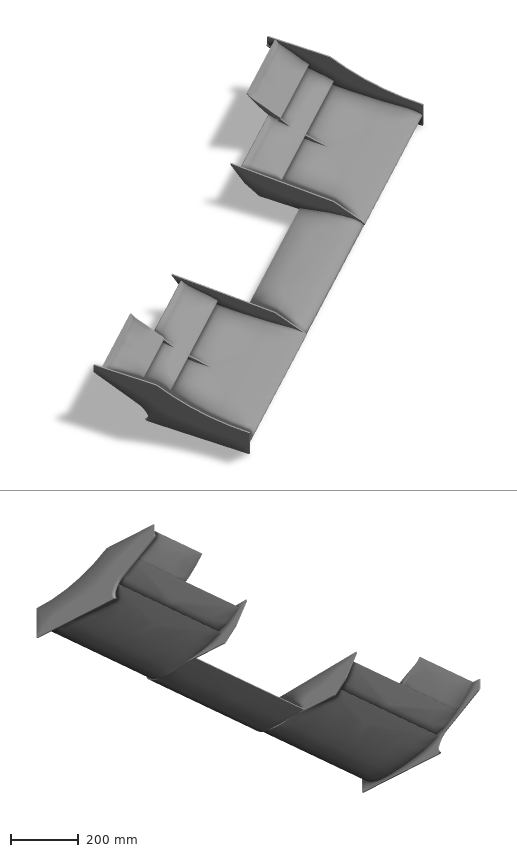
import cadquery as cq

half_span = 673.0
half_center = 225.0
flap_joint = (half_center + half_span) / 2
plate_thickness = 4.0

plate_length = 500.0
plate_height = 185.0
tip_bottom = 145.0
top_flat_length = 200.0
rear_height = 101.0
top_curve_middle = (351.0, 120.0)
leading_line_end = (139.0, 65.0)
leading_bend_end = (171.0, 25.0)
foot_x = 162.0

lip_radius = 7.0
lip_depth = 8.0

block_margin = 40.0

main_upper = [(176.0, 62.0), (213.0, 57.0), (284.0, 54.0), (371.0, 55.0), (420.0, 58.0), (471.0, 59.0)]
main_nose = (498.0, 48.0)
main_lower = [(482.0, 32.0), (460.0, 20.0), (424.0, 12.0), (367.0, 13.0), (315.0, 20.0), (241.0, 35.0), (174.0, 59.0)]

lower_flap_upper = [(97.0, 116.0), (115.0, 105.0), (148.0, 94.0), (175.0, 89.0), (203.0, 81.0)]
lower_flap_nose = (214.0, 74.0)
lower_flap_lower = [(206.0, 69.0), (178.0, 70.0), (155.0, 75.0), (128.0, 90.0), (94.0, 113.0)]

upper_flap_upper = [(28.0, 183.0), (40.0, 170.0), (59.0, 159.0), (87.0, 144.0), (120.0, 125.0)]
upper_flap_nose = (135.0, 115.0)
upper_flap_lower = [(125.0, 108.0), (109.0, 110.0), (93.0, 117.0), (69.0, 136.0), (45.0, 159.0), (24.0, 182.0)]

center_upper = [(288.0, 24.0), (336.0, 38.0), (390.0, 50.0), (451.0, 57.0), (471.0, 55.0)]
center_nose = (494.0, 42.0)
center_lower = [(471.0, 20.0), (431.0, 15.0), (363.0, 16.0), (288.0, 22.0)]

upper_web = [(124.0, 112.0), (132.0, 115.0), (167.0, 90.0), (129.0, 95.0)]
lower_web = [(182.0, 75.0), (207.0, 75.0), (284.0, 54.0), (276.0, 47.0), (195.0, 54.0)]

inner_plate_points = [
    (66.0, 129.0), (397.0, 106.0), (489.0, 58.0), (336.0, 19.0), (159.0, 19.0), (112.0, 58.0), (66.0, 125.0),
]


def slab(outline, y_start, y_end):
    """Extrude a closed XZ outline from y_start to y_end."""
    return outline.extrude(y_start - y_end).translate((0, y_start, 0))


def polygon(points):
    return cq.Workplane("XZ").polyline(points).close()


def wing_section(upper, nose, lower):
    """Closed wing section with a round nose and a blunt thin edge."""
    return cq.Workplane("XZ").moveTo(*upper[0]).spline(upper[1:] + [nose] + lower, includeCurrent=True).close()


def wing_cascade():
    """Main wing, two flaps and the strut that joins them, on the +Y side."""
    main = slab(wing_section(main_upper, main_nose, main_lower), half_center, half_span)
    lower_flap = slab(
        wing_section(lower_flap_upper, lower_flap_nose, lower_flap_lower), half_center, half_span
    )
    upper_flap = slab(
        wing_section(upper_flap_upper, upper_flap_nose, upper_flap_lower), flap_joint, half_span
    )
    cascade = main.union(lower_flap).union(upper_flap)
    for web in (upper_web, lower_web):
        cascade = cascade.union(slab(polygon(web), flap_joint, flap_joint + plate_thickness))
    return cascade


def leading_edge(start):
    """Open path down the leading edge of the outer end plate: a straight run, a bend and a foot."""
    return (
        cq.Workplane("XZ")
        .moveTo(*start)
        .lineTo(*leading_line_end)
        .tangentArcPoint(leading_bend_end, relative=False)
        .tangentArcPoint((foot_x, 0), relative=False)
    )


def outer_plate_outline():
    return (
        leading_edge((0, tip_bottom))
        .lineTo(plate_length, 0)
        .lineTo(plate_length, rear_height)
        .threePointArc(top_curve_middle, (top_flat_length, plate_height))
        .lineTo(0, plate_height)
        .close()
    )


def block_outline():
    """Oversized outline that follows the leading edge and passes the plate on all other sides."""
    tip_slope = (leading_line_end[1] - tip_bottom) / leading_line_end[0]
    front = -block_margin
    top = tip_bottom + tip_slope * front
    rear = plate_length + block_margin
    return (
        leading_edge((front, top))
        .lineTo(foot_x - block_margin, -block_margin)
        .lineTo(rear, -block_margin)
        .lineTo(rear, plate_height + block_margin)
        .lineTo(front, plate_height + block_margin)
        .close()
    )


def rounded_block(outline, y_outer, radius):
    """Block up to y_outer whose outer edge is rounded along the slanting and curved leading edge."""
    block = slab(outline, half_span - lip_depth, y_outer)
    return block.faces(">Y").edges("not(|X or |Z)").fillet(radius)


def outer_plate(cascade):
    """Thin plate with a rolled lip and openings for the wing elements."""
    outside = rounded_block(block_outline(), half_span, lip_radius)
    inside = rounded_block(
        block_outline().offset2D(-plate_thickness),
        half_span - plate_thickness,
        lip_radius - plate_thickness,
    )
    envelope = slab(outer_plate_outline(), half_span - lip_depth, half_span)
    return envelope.intersect(outside.cut(inside)).cut(cascade)


def inner_plate(cascade):
    """Flat plate at the inner end of the cascade, with openings for the wing elements."""
    return slab(polygon(inner_plate_points), half_center, half_center + plate_thickness).cut(cascade)


def center_wing():
    """Plain wing between the two inner end plates."""
    return slab(wing_section(center_upper, center_nose, center_lower), -half_center, half_center)


cascade = wing_cascade()
bodies = [center_wing().val()]
for side_body in (cascade, outer_plate(cascade), inner_plate(cascade)):
    solid = side_body.solids().val()
    bodies.append(solid)
    bodies.append(solid.mirror("XZ"))

result = cq.Compound.makeCompound(bodies)